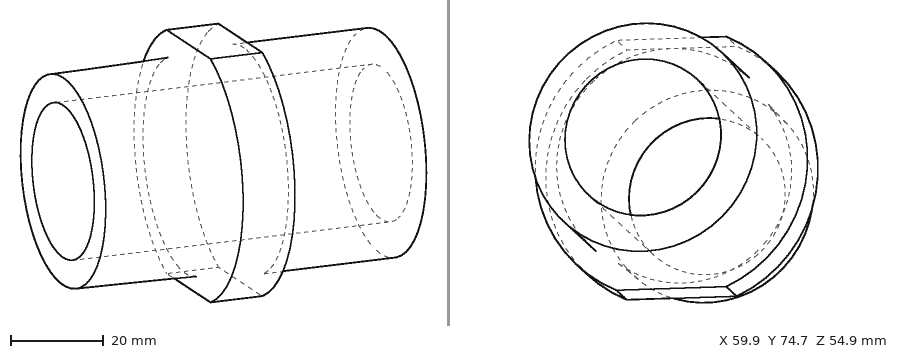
import cadquery as cq

INCH = 25.4

FRONT_LENGTH = 1.16 * INCH
COLLAR_WIDTH = 0.48 * INCH
REAR_LENGTH = 1.30 * INCH

BORE_DIAMETER = 1.35 * INCH
REAR_DIAMETER = 1.97 * INCH
COLLAR_DIAMETER = 2.36 * INCH
FRONT_TIP_DIAMETER = 1.84 * INCH
FRONT_ROOT_DIAMETER = 1.88 * INCH

ACROSS_FLATS = 2.16 * INCH
ROOT_FILLET = 0.06 * INCH

FRONT_END = -FRONT_LENGTH
REAR_END = COLLAR_WIDTH + REAR_LENGTH


def cylinder(diameter, start, end):
    """Cylinder on the Y axis from station start to station end."""
    profile = cq.Workplane("XZ", origin=(0, start, 0)).circle(diameter / 2)
    return profile.extrude(start - end)


def tapered_front_end():
    """Spigot that narrows slightly from the collar to its tip."""
    profile = (
        cq.Workplane("YZ")
        .moveTo(FRONT_END, 0)
        .lineTo(FRONT_END, FRONT_TIP_DIAMETER / 2)
        .lineTo(0, FRONT_ROOT_DIAMETER / 2)
        .lineTo(0, 0)
        .close()
    )
    return profile.revolve(360, (0, 0, 0), (1, 0, 0))


def collar():
    """Round collar with two wrench flats, facing up and down."""
    disc = cylinder(COLLAR_DIAMETER, 0, COLLAR_WIDTH)
    flats = cq.Workplane("XY").box(
        COLLAR_DIAMETER, COLLAR_WIDTH, ACROSS_FLATS, centered=(True, False, True)
    )
    return disc.intersect(flats)


def fillet_root(body, station, diameter):
    """Round the inside corner where a pipe end meets the collar at the given station."""
    margin = ROOT_FILLET / 10
    reach = diameter / 2 + margin
    corner = cq.selectors.BoxSelector(
        (-reach, station - margin, -reach),
        (reach, station + margin, reach),
        boundingbox=True,
    )
    return body.edges(corner).fillet(ROOT_FILLET)


body = collar()
body = body.union(cylinder(REAR_DIAMETER, COLLAR_WIDTH, REAR_END))
body = body.union(tapered_front_end())
body = fillet_root(body, 0, FRONT_ROOT_DIAMETER)
body = fillet_root(body, COLLAR_WIDTH, REAR_DIAMETER)

result = body.cut(cylinder(BORE_DIAMETER, FRONT_END, REAR_END))